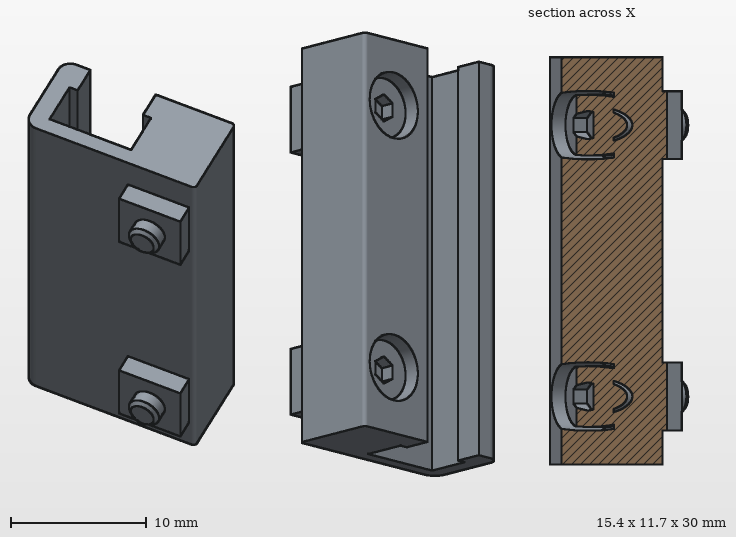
import cadquery as cq
import math

length = 30.0
tilt = 25.4
width = 14.0
height = 6.75
floor_thickness = 1.23
wall_thickness = 1.5
cavity_width = 6.65
lip_overhang = 0.65
lip_thickness = 2.15
channel_radius = 1.0
block_radius = 0.3

screw_from_end = 5.0
screw_x = 11.0
counterbore_diameter = 5.0
counterbore_depth = 3.5
clearance_diameter = 2.8
head_diameter = 4.5
head_height = 2.5
thread_diameter = 2.5
screw_length = 6.0
tip_chamfer = 0.3
socket_across_flats = 1.77
socket_depth = 1.1
nut_side = 5.0
nut_thickness = 1.5

seat_y = height - counterbore_depth
head_top_y = seat_y + head_height
tip_y = seat_y - screw_length


def cylinder(diameter, start_y, end_y):
    """Cylinder along Y, centred on the Y axis."""
    direction = cq.Vector(0, 1, 0)
    start = cq.Vector(0, start_y, 0)
    return cq.Workplane(cq.Solid.makeCylinder(diameter / 2, end_y - start_y, start, direction))


def make_rail():
    cavity_right = wall_thickness + cavity_width
    lip_y = height - lip_thickness
    outline = [
        (0, 0),
        (width, 0),
        (width, height),
        (cavity_right - lip_overhang, height),
        (cavity_right - lip_overhang, lip_y),
        (cavity_right, lip_y),
        (cavity_right, floor_thickness),
        (wall_thickness, floor_thickness),
        (wall_thickness, lip_y),
        (wall_thickness + lip_overhang, lip_y),
        (wall_thickness + lip_overhang, height),
        (0, height),
    ]
    rail = cq.Workplane("XY").polyline(outline).close().extrude(length)
    rail = rail.faces("<X").edges("|Z").fillet(channel_radius)
    return rail.faces(">X").edges("|Z").fillet(block_radius)


def make_screw_hole():
    counterbore = cylinder(counterbore_diameter, seat_y, height)
    return counterbore.union(cylinder(clearance_diameter, 0, seat_y))


def make_screw_and_nut():
    head = cylinder(head_diameter, seat_y, head_top_y)
    socket = (
        cq.Workplane("XZ", origin=(0, head_top_y, 0))
        .transformed(rotate=(0, 0, 30))
        .polygon(6, socket_across_flats / math.cos(math.radians(30)))
        .extrude(socket_depth)
    )
    shank = cylinder(thread_diameter, tip_y, seat_y).faces("<Y").chamfer(tip_chamfer)
    nut = cq.Workplane("XY").box(nut_side, nut_thickness, nut_side).translate((0, -nut_thickness / 2, 0))
    return head.cut(socket).union(shank).union(nut)


rail = make_rail()
screw_hole = make_screw_hole()
screw_and_nut = make_screw_and_nut()

for screw_z in (screw_from_end, length - screw_from_end):
    place = (screw_x, 0, screw_z)
    rail = rail.cut(screw_hole.translate(place)).union(screw_and_nut.translate(place))

result = rail.rotate((0, 0, 0), (0, 0, 1), tilt)